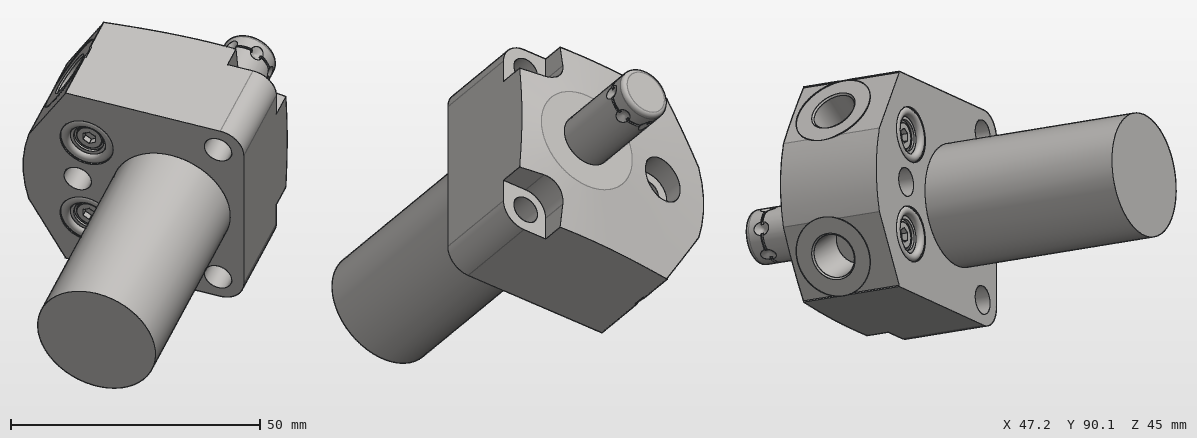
import cadquery as cq
import math

BODY_HEIGHT = 45.0
BODY_THICKNESS = 26.2
BODY_RIGHT = 15.5
NOSE_RADIUS = 31.7
SLANT_ANGLE = 30.0
SLANT_CORNER_X = -22.7
CORNER_FLAT_HEIGHT = 0.3
CORNER_RADIUS = 5.05

CAP_FLAT_RADIUS = 11.3
CAP_CONE_ANGLE = 10.5

CYLINDER_RADIUS = 12.6
CYLINDER_LENGTH = 43.7

ROD_RADIUS = 5.6
ROD_END = 46.4
ROD_END_ROUND = 1.0
GROOVE_FROM_END = 4.0
GROOVE_WIDTH = 0.5
GROOVE_DEPTH = 0.4
DIMPLE_COUNT = 6
DIMPLE_RADIUS = 1.7
DIMPLE_DEPTH = 1.0

BOLT_HOLE_RADIUS = 2.93
BOLT_SEAT_RADIUS = 5.0
BOLT_SEAT_Y = 19.1
CORNER_BOLT_X = 10.0
CORNER_BOLT_Z = 17.3
NOSE_BOLT_X = -20.0

PORT_RADIUS = 4.5
PORT_CHAMFER = 0.4
PORT_DEPTH = 10.6
PORT_Z = 15.3
SPOTFACE_RADIUS = 8.3
SPOTFACE_DEPTH = 0.2

SEAL_X = -18.1
SEAL_Z = 10.4
SEAL_POCKET_RADIUS = 5.7
SEAL_POCKET_DEPTH = 1.2
SEAL_SECTION_RADIUS = 0.95
SEAL_PROTRUSION = 0.2
SEAL_OVERLAP = 0.045
SCREW_HOLE_RADIUS = 3.2
SCREW_RADIUS = 2.8
SCREW_FACE_DEPTH = 1.5
SCREW_CHAMFER = 0.2
HEX_SIDES = 6
HEX_ACROSS_FLATS = 2.6
HEX_DEPTH = 1.35
HEX_TURN = 30.0

HALF_HEIGHT = BODY_HEIGHT / 2
SLANT_CORNER_Z = HALF_HEIGHT - CORNER_FLAT_HEIGHT
SLANT = math.radians(SLANT_ANGLE)
OVERSIZE = 2 * BODY_HEIGHT


def nose_corner():
    """Return the (x, z) point where the upper slanted face meets the nose arc."""
    plane_offset = -SLANT_CORNER_X * math.cos(SLANT) + SLANT_CORNER_Z * math.sin(SLANT)
    along = math.sqrt(NOSE_RADIUS ** 2 - plane_offset ** 2)
    x = -plane_offset * math.cos(SLANT) - along * math.sin(SLANT)
    z = plane_offset * math.sin(SLANT) - along * math.cos(SLANT)
    return x, z


NOSE_X, NOSE_Z = nose_corner()


def cylinder_y(radius, y_start, y_end, x=0.0, z=0.0):
    """Cylinder along Y between two Y positions."""
    axis = cq.Vector(0, 1, 0)
    solid = cq.Solid.makeCylinder(radius, y_end - y_start, cq.Vector(x, y_start, z), axis)
    return cq.Workplane(obj=solid)


def revolve_about_y(profile):
    """Revolve a closed (radius, y) profile drawn in XY about the Y axis."""
    return profile.close().revolve(360, (0, 0, 0), (0, 1, 0))


def body_block():
    """Plate with a rounded nose at -X between two slanted faces."""
    outline = (
        cq.Workplane("XZ")
        .moveTo(BODY_RIGHT, -HALF_HEIGHT)
        .lineTo(BODY_RIGHT, HALF_HEIGHT)
        .lineTo(SLANT_CORNER_X, HALF_HEIGHT)
        .lineTo(SLANT_CORNER_X, SLANT_CORNER_Z)
        .lineTo(NOSE_X, NOSE_Z)
        .threePointArc((-NOSE_RADIUS, 0), (NOSE_X, -NOSE_Z))
        .lineTo(SLANT_CORNER_X, -SLANT_CORNER_Z)
        .lineTo(SLANT_CORNER_X, -HALF_HEIGHT)
        .close()
    )
    block = outline.extrude(-BODY_THICKNESS)
    return block.edges("|Y and >X").fillet(CORNER_RADIUS)


def cap_envelope():
    """Flat-topped cone that limits the +Y side of the body."""
    drop = (OVERSIZE - CAP_FLAT_RADIUS) * math.tan(math.radians(CAP_CONE_ANGLE))
    profile = (
        cq.Workplane("XY")
        .moveTo(0, -OVERSIZE)
        .lineTo(0, BODY_THICKNESS)
        .lineTo(CAP_FLAT_RADIUS, BODY_THICKNESS)
        .lineTo(OVERSIZE, BODY_THICKNESS - drop)
        .lineTo(OVERSIZE, -OVERSIZE)
    )
    return revolve_about_y(profile)


def piston_rod():
    """Rod with a rounded end, a ring groove and conical dimples along the groove."""
    groove_y = ROD_END - GROOVE_FROM_END
    profile = (
        cq.Workplane("XY")
        .lineTo(ROD_RADIUS, 0)
        .lineTo(ROD_RADIUS, groove_y - GROOVE_WIDTH / 2)
        .lineTo(ROD_RADIUS - GROOVE_DEPTH, groove_y - GROOVE_WIDTH / 2)
        .lineTo(ROD_RADIUS - GROOVE_DEPTH, groove_y + GROOVE_WIDTH / 2)
        .lineTo(ROD_RADIUS, groove_y + GROOVE_WIDTH / 2)
        .lineTo(ROD_RADIUS, ROD_END)
        .lineTo(0, ROD_END)
    )
    rod = revolve_about_y(profile).edges(">Y").fillet(ROD_END_ROUND)
    cone_height = 2 * DIMPLE_DEPTH
    cone_radius = 2 * DIMPLE_RADIUS
    for i in range(DIMPLE_COUNT):
        angle = 2 * math.pi * i / DIMPLE_COUNT
        outward = cq.Vector(math.cos(angle), 0, math.sin(angle))
        tip = outward * (ROD_RADIUS - DIMPLE_DEPTH) + cq.Vector(0, groove_y, 0)
        cone = cq.Solid.makeCone(0, cone_radius, cone_height, tip, outward)
        rod = rod.cut(cq.Workplane(obj=cone))
    return rod


def corner_bolt_seat(side):
    """Pocket around a corner bolt, open towards +X, +Y and the outside in Z."""
    inner_x = CORNER_BOLT_X - BOLT_SEAT_RADIUS
    inner_z = CORNER_BOLT_Z - BOLT_SEAT_RADIUS
    pocket = (
        cq.Workplane("XY")
        .box(BODY_HEIGHT, BODY_THICKNESS, BODY_HEIGHT, centered=False)
        .edges("|Y and <X and <Z")
        .fillet(BOLT_SEAT_RADIUS)
        .translate((inner_x, BOLT_SEAT_Y, inner_z))
    )
    return pocket if side > 0 else pocket.mirror("XY")


def bolt_cuts():
    """Three through holes for bolts, each seated below the +Y surface."""
    cuts = cylinder_y(BOLT_HOLE_RADIUS, -OVERSIZE, OVERSIZE, NOSE_BOLT_X)
    cuts = cuts.union(cylinder_y(BOLT_SEAT_RADIUS, BOLT_SEAT_Y, OVERSIZE, NOSE_BOLT_X))
    for side in (1, -1):
        bolt_z = side * CORNER_BOLT_Z
        cuts = cuts.union(cylinder_y(BOLT_HOLE_RADIUS, -OVERSIZE, OVERSIZE, CORNER_BOLT_X, bolt_z))
        cuts = cuts.union(corner_bolt_seat(side))
    return cuts


def port_cut(side):
    """Spotfaced, chamfered blind port square to a slanted face."""
    inward = cq.Vector(math.cos(SLANT), 0, -side * math.sin(SLANT))
    centre_x = SLANT_CORNER_X - (SLANT_CORNER_Z - PORT_Z) * math.tan(SLANT)
    centre = cq.Vector(centre_x, BODY_THICKNESS / 2, side * PORT_Z)
    seat = centre + inward * SPOTFACE_DEPTH
    spotface = cq.Solid.makeCylinder(SPOTFACE_RADIUS, SPOTFACE_RADIUS, seat, inward * -1)
    bore = cq.Solid.makeCylinder(PORT_RADIUS, PORT_DEPTH, centre, inward)
    mouth = cq.Solid.makeCone(PORT_RADIUS + PORT_CHAMFER, PORT_RADIUS, PORT_CHAMFER, seat, inward)
    return cq.Workplane(obj=spotface).union(cq.Workplane(obj=bore)).union(cq.Workplane(obj=mouth))


def seal_cut(z):
    """Seal pocket with a plugged screw hole: the screw has a chamfered end and a hex socket."""
    pocket = cylinder_y(SEAL_POCKET_RADIUS, -OVERSIZE, SEAL_POCKET_DEPTH, SEAL_X, z)
    hole = cylinder_y(SCREW_HOLE_RADIUS, 0, SCREW_FACE_DEPTH + SCREW_CHAMFER, SEAL_X, z)
    face_place = cq.Vector(SEAL_X, SCREW_FACE_DEPTH, z)
    screw_end = cq.Solid.makeCone(
        SCREW_RADIUS - SCREW_CHAMFER, SCREW_RADIUS, SCREW_CHAMFER, face_place, cq.Vector(0, 1, 0)
    )
    socket = (
        cq.Workplane("XZ", origin=face_place.toTuple())
        .transformed(rotate=(0, 0, HEX_TURN))
        .polygon(HEX_SIDES, HEX_ACROSS_FLATS / math.cos(math.pi / HEX_SIDES))
        .extrude(-HEX_DEPTH)
    )
    return pocket.union(hole).cut(cq.Workplane(obj=screw_end)).union(socket)


def seal_ring(z):
    """Round seal that stands slightly proud of the mounting face."""
    ring_radius = SEAL_POCKET_RADIUS + SEAL_OVERLAP - SEAL_SECTION_RADIUS
    centre = cq.Vector(SEAL_X, SEAL_SECTION_RADIUS - SEAL_PROTRUSION, z)
    ring = cq.Solid.makeTorus(ring_radius, SEAL_SECTION_RADIUS, centre, cq.Vector(0, 1, 0))
    return cq.Workplane(obj=ring)


result = body_block().intersect(cap_envelope()).cut(bolt_cuts())
for side in (1, -1):
    result = result.cut(port_cut(side))
    result = result.cut(seal_cut(side * SEAL_Z))
    result = result.union(seal_ring(side * SEAL_Z))
result = result.union(cylinder_y(CYLINDER_RADIUS, -CYLINDER_LENGTH, 0))
result = result.union(piston_rod())